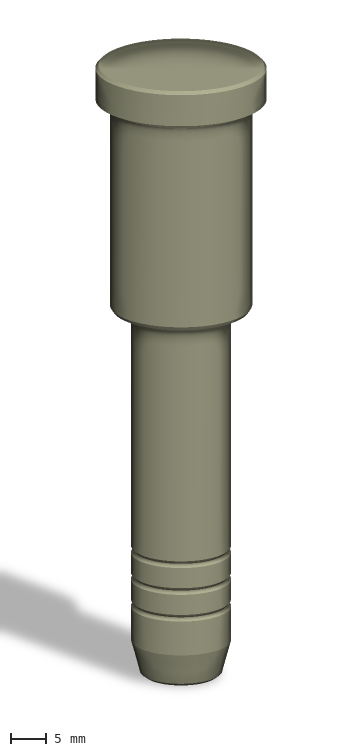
import cadquery as cq
import math

total_length = 90.0

head_diameter = 24.0
head_height = 5.0
head_chamfer = 0.45

body_diameter = 20.0
body_bottom_z = 54.0
body_chamfer_height = 0.5
body_chamfer_width = 0.4

shank_diameter = 14.0
relief_diameter = 13.0
relief_height = 1.0

tip_height = 5.0
tip_angle = 15.0
tip_chamfer = 0.45

groove_width = 1.0
groove_depth = 0.45
lowest_groove_z = 10.5
groove_pitch = 4.0
groove_count = 3

head_bottom_z = total_length - head_height
tip_radius = shank_diameter / 2 - tip_height * math.tan(math.radians(tip_angle))


def cylinder(diameter, bottom_z, top_z):
    """Round bar on the Z axis between two heights."""
    return cq.Workplane("XY").workplane(offset=bottom_z).circle(diameter / 2).extrude(top_z - bottom_z)


def v_groove(diameter, center_z):
    """Ring with a triangular section that cuts a V-groove into a round bar."""
    radius = diameter / 2
    return (
        cq.Workplane("XZ")
        .moveTo(radius, center_z - groove_width / 2)
        .lineTo(radius - groove_depth, center_z)
        .lineTo(radius, center_z + groove_width / 2)
        .close()
        .revolve(360, (0, 0, 0), (0, 1, 0))
    )


def make_head():
    head = cylinder(head_diameter, head_bottom_z, total_length)
    return head.faces(">Z").edges().chamfer(head_chamfer)


def make_body():
    """Body with a chamfered lower edge and a V-groove directly under the head."""
    body = cylinder(body_diameter, body_bottom_z, head_bottom_z)
    body = body.faces("<Z").edges().chamfer(body_chamfer_height, body_chamfer_width)
    return body.cut(v_groove(body_diameter, head_bottom_z - groove_width / 2))


def make_tip():
    """Cone that narrows towards the chamfered end of the pin."""
    tip = (
        cq.Workplane("XZ")
        .lineTo(tip_radius, 0)
        .lineTo(shank_diameter / 2, tip_height)
        .lineTo(0, tip_height)
        .close()
        .revolve(360, (0, 0, 0), (0, 1, 0))
    )
    return tip.faces("<Z").edges().chamfer(tip_chamfer)


def make_shank():
    shank_top_z = body_bottom_z - relief_height
    shank = cylinder(shank_diameter, tip_height, shank_top_z)
    for index in range(groove_count):
        shank = shank.cut(v_groove(shank_diameter, lowest_groove_z + index * groove_pitch))
    return shank.union(cylinder(relief_diameter, shank_top_z, body_bottom_z))


result = make_head().union(make_body()).union(make_shank()).union(make_tip())